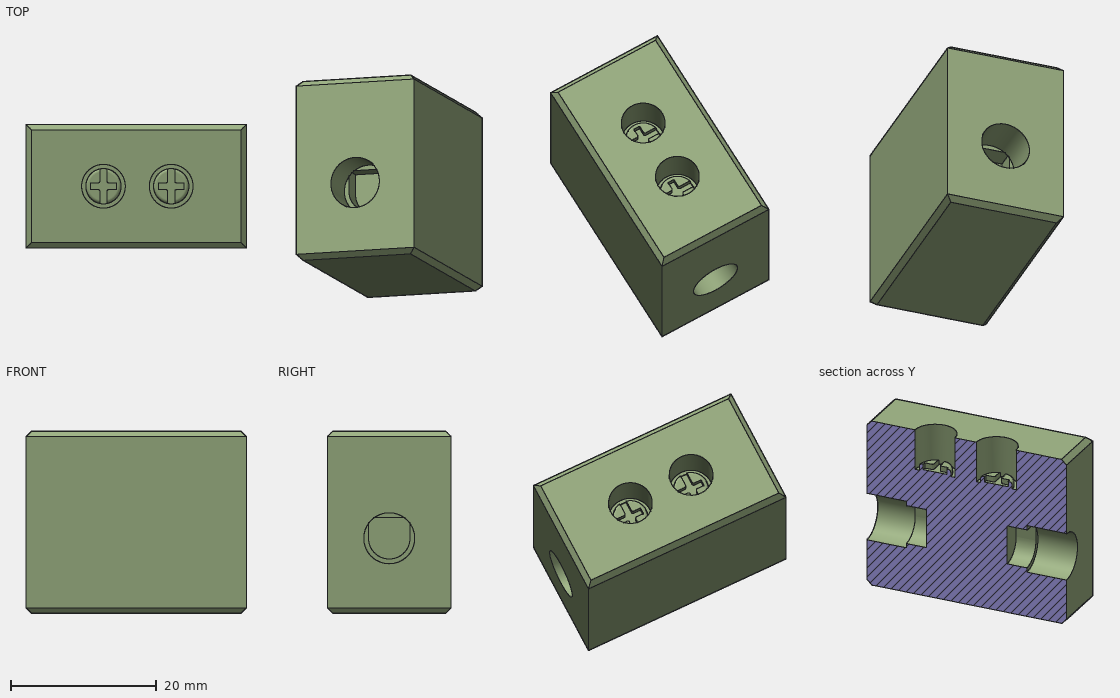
import cadquery as cq

length = 30.3
width = 17.0
height = 25.0
edge_chamfer = 0.75

entry_diameter = 7.0
entry_depth = 6.0
entry_z = -2.2
channel_width = 5.7
channel_rise = channel_width / 2
channel_depth = 3.0

well_diameter = 6.0
well_depth = 6.0
well_spacing = 9.3
well_centre_x = 0.15

head_diameter = 4.85
head_height = 1.0
head_rounding = 0.45

recess_depth = 0.8
long_slot_width = 0.98
short_slot_width = 0.92
short_slot_length = 3.55
cross_corner_radius = 0.25

half_length = length / 2
head_top_z = height / 2 - well_depth + head_height


def make_block():
    """Box with the rims of the top and bottom faces chamfered."""
    block = cq.Workplane("XY").box(length, width, height)
    return block.faces("<Z or >Z").edges().chamfer(edge_chamfer)


def make_wire_entry():
    """Round bore from the -X face, ending in a flat-topped, round-bottomed channel."""
    bore_start = cq.Workplane("YZ", origin=(-half_length, 0, entry_z))
    bore = bore_start.circle(entry_diameter / 2).extrude(entry_depth)
    radius = channel_width / 2
    channel = (
        bore_start.workplane(offset=entry_depth)
        .moveTo(-radius, 0)
        .threePointArc((0, -radius), (radius, 0))
        .lineTo(radius, channel_rise)
        .lineTo(-radius, channel_rise)
        .close()
        .extrude(channel_depth)
    )
    return bore.union(channel)


def make_cross_recess(x):
    """Cross-shaped cutter reaching down from the top of the screw head at x."""
    plane = cq.Workplane("XY", origin=(x, 0, head_top_z))
    long_slot = plane.rect(long_slot_width, well_diameter).extrude(-recess_depth)
    short_slot = plane.rect(short_slot_length, short_slot_width).extrude(-recess_depth)
    cross = long_slot.union(short_slot)
    reach = long_slot_width
    inner_corners = cq.selectors.BoxSelector(
        (x - reach, -reach, head_top_z - head_height), (x + reach, reach, head_top_z)
    )
    return cross.edges("|Z").edges(inner_corners).fillet(cross_corner_radius)


def make_screw_head(x):
    """Round head with a rounded rim and a cross recess."""
    head = (
        cq.Workplane("XY", origin=(x, 0, head_top_z - head_height))
        .circle(head_diameter / 2)
        .extrude(head_height)
        .faces(">Z")
        .edges()
        .fillet(head_rounding)
    )
    return head.cut(make_cross_recess(x))


def make_screw_well(x):
    """Cylinder to be cut down from the top face."""
    top = cq.Workplane("XY", origin=(x, 0, height / 2))
    return top.circle(well_diameter / 2).extrude(-well_depth)


result = make_block()

wire_entry = make_wire_entry()
result = result.cut(wire_entry).cut(wire_entry.mirror("YZ"))

for side in (-1, 1):
    screw_x = well_centre_x + side * well_spacing / 2
    result = result.cut(make_screw_well(screw_x)).union(make_screw_head(screw_x))